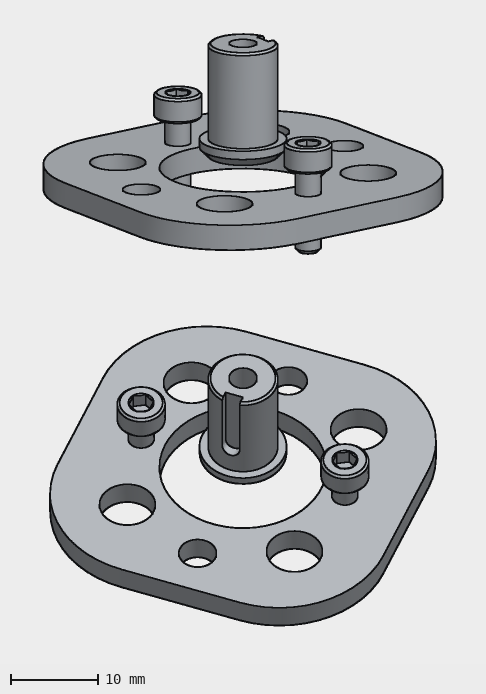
import cadquery as cq
import math

plate_side = 40.0
plate_thickness = 3.0
corner_radius = 12.75
centre_hole_diameter = 19.15

bolt_circle_diameter = 29.0
bolt_circle_radius = bolt_circle_diameter / 2
large_hole_diameter = 6.4
small_hole_diameter = 4.3

screw_spacing = 25.0
screw_offset = screw_spacing / 2
shank_diameter = 3.0
shank_length = 10.0
tip_chamfer = 0.5
head_diameter = 5.5
head_height = 3.0
head_chamfer = 0.3
socket_across_flats = 2.5
socket_across_corners = socket_across_flats / math.cos(math.radians(30))
socket_depth = 1.8
socket_mouth_diameter = 2.9
lead_in_slope = 30.0
tip_projection = 4.0
shoulder_z = shank_length - tip_projection

pin_diameter = 8.0
pin_body_length = 11.4
pin_chamfer = 0.3
pin_bore_diameter = 3.2
collar_diameter = 10.0
collar_height = 2.0
collar_chamfer = (collar_diameter - pin_diameter) / 2
pin_gap = 1.5
pin_base_z = plate_thickness + pin_gap
pin_length = collar_height + pin_body_length

keyway_width = 2.1
keyway_depth = 1.2
keyway_length = 8.9


def make_plate():
    """Rounded square plate with its centre hole, bolt circle holes and screw holes."""
    plate = (
        cq.Workplane("XY")
        .rect(plate_side, plate_side)
        .extrude(plate_thickness)
        .edges("|Z")
        .fillet(corner_radius)
    )
    centre_hole = cq.Workplane("XY").circle(centre_hole_diameter / 2).extrude(plate_thickness)
    large_holes = (
        cq.Workplane("XY")
        .polarArray(bolt_circle_radius, 45, 360, 4)
        .circle(large_hole_diameter / 2)
        .extrude(plate_thickness)
    )
    small_holes = (
        cq.Workplane("XY")
        .polarArray(bolt_circle_radius, 90, 360, 2)
        .circle(small_hole_diameter / 2)
        .extrude(plate_thickness)
    )
    screw_holes = (
        cq.Workplane("XY")
        .pushPoints([(-screw_offset, 0), (screw_offset, 0)])
        .circle(shank_diameter / 2)
        .extrude(plate_thickness)
    )
    return plate.cut(centre_hole).cut(large_holes).cut(small_holes).cut(screw_holes)


def make_pin():
    """Bored pin with a bevelled collar at its base and a keyway along its side."""
    collar = (
        cq.Workplane("XY", origin=(0, 0, pin_base_z))
        .circle(collar_diameter / 2)
        .extrude(collar_height)
        .faces("<Z")
        .chamfer(collar_chamfer)
    )
    body = (
        cq.Workplane("XY", origin=(0, 0, pin_base_z + collar_height))
        .circle(pin_diameter / 2)
        .extrude(pin_body_length)
        .faces(">Z")
        .chamfer(pin_chamfer)
    )
    bore = (
        cq.Workplane("XY", origin=(0, 0, pin_base_z))
        .circle(pin_bore_diameter / 2)
        .extrude(pin_length)
    )
    return collar.union(body).cut(bore).cut(make_keyway())


def make_keyway():
    """Cutting shape for the keyway: a slot profile pushed outward from the keyway floor."""
    half_width = keyway_width / 2
    pin_top_z = pin_base_z + pin_length
    lower_end_z = pin_top_z - keyway_length
    floor_y = pin_diameter / 2 - keyway_depth
    return (
        cq.Workplane("XZ", origin=(0, floor_y, 0))
        .moveTo(-half_width, pin_top_z)
        .lineTo(-half_width, lower_end_z + half_width)
        .threePointArc((0, lower_end_z), (half_width, lower_end_z + half_width))
        .lineTo(half_width, pin_top_z)
        .close()
        .extrude(-keyway_depth)
    )


def make_screw(x):
    """Socket head cap screw, head up, with its axis at the given x."""
    shank = (
        cq.Workplane("XY", origin=(x, 0, -tip_projection))
        .circle(shank_diameter / 2)
        .extrude(shank_length)
        .faces("<Z")
        .chamfer(tip_chamfer)
    )
    head = (
        cq.Workplane("XY", origin=(x, 0, shoulder_z))
        .circle(head_diameter / 2)
        .extrude(head_height)
        .faces("<Z or >Z")
        .chamfer(head_chamfer)
    )
    head_top_z = shoulder_z + head_height
    socket = (
        cq.Workplane("XY", origin=(x, 0, head_top_z))
        .transformed(rotate=(0, 0, 90))
        .polygon(6, socket_across_corners)
        .extrude(-socket_depth)
    )
    mouth_radius = socket_mouth_diameter / 2
    lead_in_depth = mouth_radius * math.tan(math.radians(lead_in_slope))
    lead_in = cq.Workplane(
        cq.Solid.makeCone(mouth_radius, 0, lead_in_depth, pnt=(x, 0, head_top_z), dir=(0, 0, -1))
    )
    return shank.union(head).cut(socket).cut(lead_in)


plate = make_plate()
pin = make_pin()
screws = [make_screw(side * screw_offset) for side in (-1, 1)]

result = cq.Compound.makeCompound([plate.val(), pin.val(), *[screw.val() for screw in screws]])